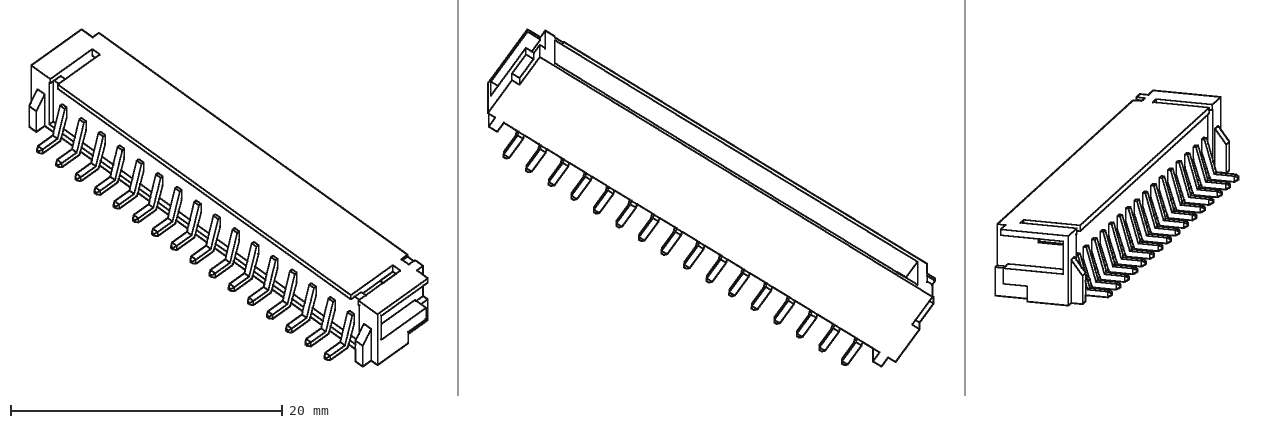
import cadquery as cq

PIN_COUNT = 16
PIN_PITCH = 2.0
PIN_WIDTH = 0.5
PIN_THICKNESS = 0.45
PIN_REACH = 2.36
PIN_TOP = 3.05
PIN_CAP = 0.22
PIN_KNEE = 0.57
PIN_HEEL = 0.27
PIN_BACK_TOP = 2.1
PIN_TIP_LENGTH = 0.24
PIN_TIP_INSET = 0.13

HALF_LENGTH = 36.15 / 2
DEPTH = 5.9
HEIGHT = 5.38
ROOF = 0.45
ROOF_BOTTOM = HEIGHT - ROOF

PANEL_SET_BACK = 0.41
PANEL_END_MARGIN = 1.9
LIP_HEIGHT = 0.53

END_RECESS = 1.15
END_RECESS_FLOOR = 2.4
ROOF_REAR_STEP = 0.65
HEEL_INSET = 0.67
HEEL_HEIGHT = 2.2
HEEL_DEPTH = 0.85
HEEL_STEP_HEIGHT = 1.2
HEEL_STEP_DEPTH = 2.7

SLOT_OFFSET = 2.0
SLOT_WIDTH = 0.78
SLOT_REAR_MARGIN = 1.53
KEY_DEPTH = 0.2
PANEL_BACK = 1.08

CAVITY_ROOF = 0.7
CAVITY_CEILING = HEIGHT - CAVITY_ROOF

POCKET_REAR = 2.7
POCKET_FLOOR = 4.27
POCKET_DEPTH = 0.3

TAB_OFFSET = 0.66
TAB_WIDTH = 0.76
TAB_REACH = 0.88
TAB_TOP = 3.35
TAB_SHOULDER = 2.2


def block(x, y, z):
    """Box from three (low, high) pairs."""
    size = [high - low for low, high in (x, y, z)]
    return cq.Workplane("XY").box(*size, centered=False).translate((x[0], y[0], z[0]))


def plate(profile, x_start, width):
    """Closed (y, z) profile extruded along +X."""
    return cq.Workplane("YZ").polyline(profile).close().extrude(width).translate((x_start, 0, 0))


def from_end(near, far):
    """X range at the -X end, given as distances from that end face."""
    return (near - HALF_LENGTH, far - HALF_LENGTH)


def both_ends(shape):
    return shape.union(shape.mirror("YZ"))


def panel_recess():
    half = HALF_LENGTH - PANEL_END_MARGIN
    return block((-half, half), (0, PANEL_SET_BACK), (LIP_HEIGHT, ROOF_BOTTOM))


def end_recess():
    upper = block(from_end(0, END_RECESS), (PANEL_SET_BACK, DEPTH), (END_RECESS_FLOOR, ROOF_BOTTOM))
    rear = block(from_end(0, END_RECESS), (DEPTH - ROOF_REAR_STEP, DEPTH), (HEEL_HEIGHT, HEIGHT))
    ledge = block(from_end(0, END_RECESS), (DEPTH - HEEL_DEPTH, DEPTH), (HEEL_HEIGHT, ROOF_BOTTOM))
    heel = block(from_end(0, HEEL_INSET), (DEPTH - HEEL_DEPTH, DEPTH), (0, HEEL_HEIGHT))
    step = block(from_end(0, HEEL_INSET), (DEPTH - HEEL_STEP_DEPTH, DEPTH), (0, HEEL_STEP_HEIGHT))
    return both_ends(upper.union(rear).union(ledge).union(heel).union(step))


def roof_slot():
    span = from_end(SLOT_OFFSET, SLOT_OFFSET + SLOT_WIDTH)
    rear = DEPTH - SLOT_REAR_MARGIN
    over_panel = block(span, (0, PANEL_BACK), (ROOF_BOTTOM, HEIGHT))
    over_cavity = block(span, (PANEL_BACK, rear), (CAVITY_CEILING, HEIGHT))
    return both_ends(over_panel.union(over_cavity))


def cavity():
    half = HALF_LENGTH - SLOT_OFFSET
    return block((-half, half), (PANEL_BACK, DEPTH), (LIP_HEIGHT, CAVITY_CEILING))


def end_pocket():
    span = from_end(END_RECESS, END_RECESS + POCKET_DEPTH)
    return both_ends(block(span, (PANEL_SET_BACK, POCKET_REAR), (POCKET_FLOOR, ROOF_BOTTOM)))


def key_notch():
    end = HALF_LENGTH - SLOT_OFFSET
    return block((end - SLOT_WIDTH, end), (DEPTH - ROOF_REAR_STEP, DEPTH), (HEIGHT - KEY_DEPTH, HEIGHT))


def solder_tabs():
    profile = [(0, 0), (-TAB_REACH, 0), (-TAB_REACH, TAB_SHOULDER), (0, TAB_TOP)]
    return both_ends(plate(profile, TAB_OFFSET - HALF_LENGTH, TAB_WIDTH))


def pin(x):
    tip_base = PIN_TIP_LENGTH - PIN_REACH
    slope_start = PANEL_SET_BACK - PIN_CAP
    profile = [
        (PANEL_SET_BACK, PIN_TOP),
        (slope_start, PIN_TOP),
        (-PIN_KNEE, PIN_THICKNESS),
        (tip_base, PIN_THICKNESS),
        (tip_base, 0),
        (-PIN_HEEL, 0),
        (PANEL_SET_BACK, PIN_BACK_TOP),
    ]
    bar = plate(profile, x - PIN_WIDTH / 2, PIN_WIDTH)
    tip = (
        cq.Workplane("XZ", origin=(x, tip_base, PIN_THICKNESS / 2))
        .rect(PIN_WIDTH, PIN_THICKNESS)
        .workplane(offset=PIN_TIP_LENGTH)
        .rect(PIN_WIDTH - 2 * PIN_TIP_INSET, PIN_THICKNESS - 2 * PIN_TIP_INSET)
        .loft()
    )
    return bar.union(tip)


result = block((-HALF_LENGTH, HALF_LENGTH), (0, DEPTH), (0, HEIGHT))
for cutter in (panel_recess(), end_recess(), roof_slot(), cavity(), end_pocket(), key_notch()):
    result = result.cut(cutter)
result = result.union(solder_tabs())
for index in range(PIN_COUNT):
    result = result.union(pin((index - (PIN_COUNT - 1) / 2) * PIN_PITCH))